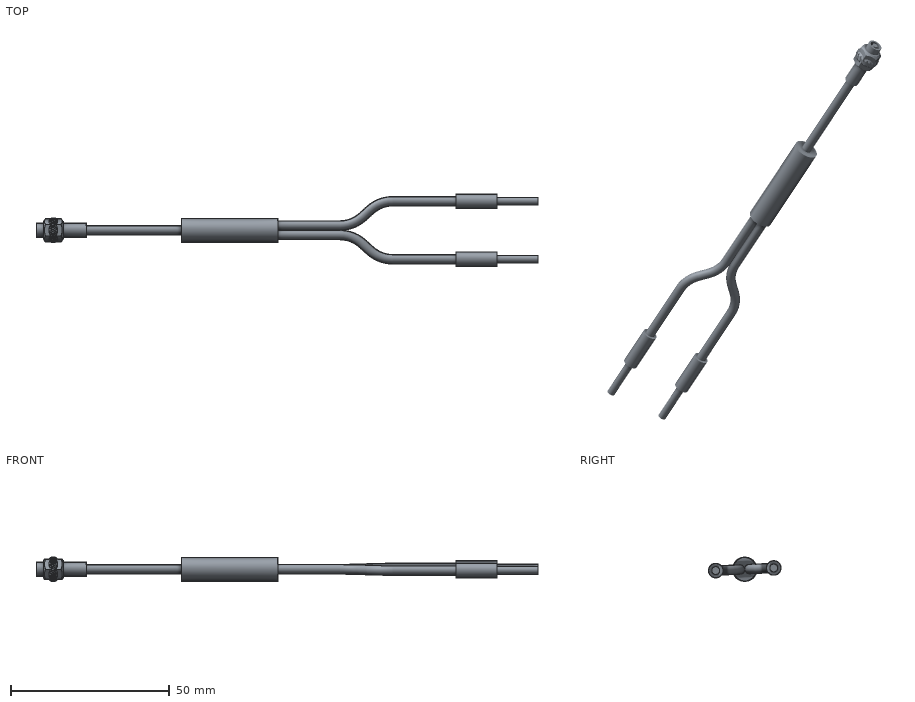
import cadquery as cq
import math

NOSE_LENGTH = 2.2
NUT_LENGTH = 6.3
PLUG_LENGTH = 15.85
TRUNK_LENGTH = 30.0
SPLITTER_LENGTH = 30.5
TWIN_LENGTH = 19.7
LEG_LENGTH = 20.0
FERRULE_LENGTH = 13.0
TOTAL_LENGTH = 158.65

BARREL_DIAMETER = 4.45
SOCKET_DIAMETER = 3.3
SOCKET_DEPTH = 2.0
CONTACT_DIAMETER = 1.7
NUT_ACROSS_CORNERS = 7.4
NUT_CHAMFER_DIAMETER = 5.4
NUT_CHAMFER_LENGTH = 0.7
GRIP_DIAMETER = 7.65
GRIP_BASE_DIAMETER = 6.4
GRIP_LENGTH = 1.2
GRIP_BASE_LENGTH = 2.8
GRIP_GROOVES = 18
GRIP_GROOVE_WIDTH = 0.5
GRIP_GROOVE_DEPTH = 0.35
GRIP_GROOVE_SLANT = 30.0

TRUNK_DIAMETER = 3.0
SPLITTER_DIAMETER = 7.6
BRANCH_DIAMETER = 3.0
FERRULE_DIAMETER = 4.6
TIP_DIAMETER = 2.5
OVERALL_WIDTH = 22.94
BEND_ANGLE = 42.5
FORK_TILT = 2.6

nut_start = NOSE_LENGTH
nut_end = nut_start + NUT_LENGTH
trunk_start = PLUG_LENGTH
splitter_start = trunk_start + TRUNK_LENGTH
branch_start = splitter_start + SPLITTER_LENGTH
ferrule_start = TOTAL_LENGTH - 2 * FERRULE_LENGTH
tip_start = ferrule_start + FERRULE_LENGTH
twin_end = branch_start + TWIN_LENGTH
leg_start = ferrule_start - LEG_LENGTH

twin_offset = BRANCH_DIAMETER / 2
leg_offset = (OVERALL_WIDTH - FERRULE_DIAMETER) / 2 / math.cos(math.radians(FORK_TILT))


def rod(start, end, diameter, offset=0.0):
    """Round rod along X between two stations, moved sideways in Y by the offset."""
    return (
        cq.Workplane("YZ", origin=(start, offset, 0))
        .circle(diameter / 2)
        .extrude(end - start)
    )


def tilted(body):
    """Turn a body of the fork about the cable axis into the fork's tilted plane."""
    return body.rotate((0, 0, 0), (1, 0, 0), FORK_TILT)


def make_nut():
    """Hexagonal nut with corners on +Y and -Y, its ends chamfered to a cone."""
    hexagon = (
        cq.Workplane("YZ", origin=(nut_start, 0, 0))
        .polygon(6, NUT_ACROSS_CORNERS)
        .extrude(NUT_LENGTH)
    )
    end_radius = NUT_CHAMFER_DIAMETER / 2
    full_radius = NUT_ACROSS_CORNERS / 2
    envelope = (
        cq.Workplane("XY")
        .moveTo(nut_start, 0)
        .lineTo(nut_start, end_radius)
        .lineTo(nut_start + NUT_CHAMFER_LENGTH, full_radius)
        .lineTo(nut_end - NUT_CHAMFER_LENGTH, full_radius)
        .lineTo(nut_end, end_radius)
        .lineTo(nut_end, 0)
        .close()
        .revolve(360, (0, 0, 0), (1, 0, 0))
    )
    return hexagon.intersect(envelope)


def make_grip():
    """Grip ring around the middle of the nut, with sloping sides and slanted grooves."""
    middle = (nut_start + nut_end) / 2
    grip = (
        cq.Workplane("XY")
        .moveTo(middle - GRIP_BASE_LENGTH / 2, 0)
        .lineTo(middle - GRIP_BASE_LENGTH / 2, GRIP_BASE_DIAMETER / 2)
        .lineTo(middle - GRIP_LENGTH / 2, GRIP_DIAMETER / 2)
        .lineTo(middle + GRIP_LENGTH / 2, GRIP_DIAMETER / 2)
        .lineTo(middle + GRIP_BASE_LENGTH / 2, GRIP_BASE_DIAMETER / 2)
        .lineTo(middle + GRIP_BASE_LENGTH / 2, 0)
        .close()
        .revolve(360, (0, 0, 0), (1, 0, 0))
    )
    groove = (
        cq.Workplane("XY")
        .box(2 * GRIP_BASE_LENGTH, GRIP_GROOVE_WIDTH, 2 * GRIP_GROOVE_DEPTH)
        .rotate((0, 0, 0), (0, 0, 1), GRIP_GROOVE_SLANT)
        .translate((middle, 0, GRIP_DIAMETER / 2))
    )
    for i in range(GRIP_GROOVES):
        turn = 360 / GRIP_GROOVES * i
        grip = grip.cut(groove.rotate((0, 0, 0), (1, 0, 0), turn))
    return grip


def make_plug():
    """Plug: barrel with nut and grip ring, and a socket around a centre contact."""
    barrel = rod(0, PLUG_LENGTH, BARREL_DIAMETER)
    socket = rod(0, SOCKET_DEPTH, SOCKET_DIAMETER)
    contact = rod(0, SOCKET_DEPTH, CONTACT_DIAMETER)
    return barrel.union(make_nut()).union(make_grip()).cut(socket.cut(contact))


def branch_path():
    """Straight run beside the other cable, an S-bend outwards, and a straight leg."""
    run = leg_start - twin_end
    rise = leg_offset - twin_offset
    bend = math.radians(BEND_ANGLE)
    sine = math.sin(bend)
    cosine = math.cos(bend)
    radius = (run * sine - rise * cosine) / (2 * (1 - cosine))
    along = radius * sine
    across = radius * (1 - cosine)
    mid_along = radius * math.sin(bend / 2)
    mid_across = radius * (1 - math.cos(bend / 2))
    return (
        cq.Workplane("XY")
        .moveTo(branch_start, twin_offset)
        .lineTo(twin_end, twin_offset)
        .threePointArc(
            (twin_end + mid_along, twin_offset + mid_across),
            (twin_end + along, twin_offset + across),
        )
        .lineTo(leg_start - along, leg_offset - across)
        .threePointArc(
            (leg_start - mid_along, leg_offset - mid_across),
            (leg_start, leg_offset),
        )
        .lineTo(ferrule_start, leg_offset)
    )


def make_branch():
    """Branch cable on the +Y side of the fork."""
    section = cq.Workplane("YZ", origin=(branch_start, twin_offset, 0)).circle(BRANCH_DIAMETER / 2)
    return section.sweep(branch_path())


def make_ferrule():
    """Ferrule and its thinner tip at the end of the +Y branch."""
    body = rod(ferrule_start, tip_start, FERRULE_DIAMETER, leg_offset)
    tip = rod(tip_start, TOTAL_LENGTH, TIP_DIAMETER, leg_offset)
    return body.union(tip)


plug = make_plug()
trunk = rod(trunk_start, splitter_start, TRUNK_DIAMETER)
splitter = rod(splitter_start, branch_start, SPLITTER_DIAMETER)

branches = []
ferrules = []
for side in (0, 180):
    branches.append(tilted(make_branch()).rotate((0, 0, 0), (1, 0, 0), side))
    ferrules.append(tilted(make_ferrule()).rotate((0, 0, 0), (1, 0, 0), side))

bodies = [plug, trunk, splitter, *branches, *ferrules]
result = cq.Compound.makeCompound([body.val() for body in bodies])